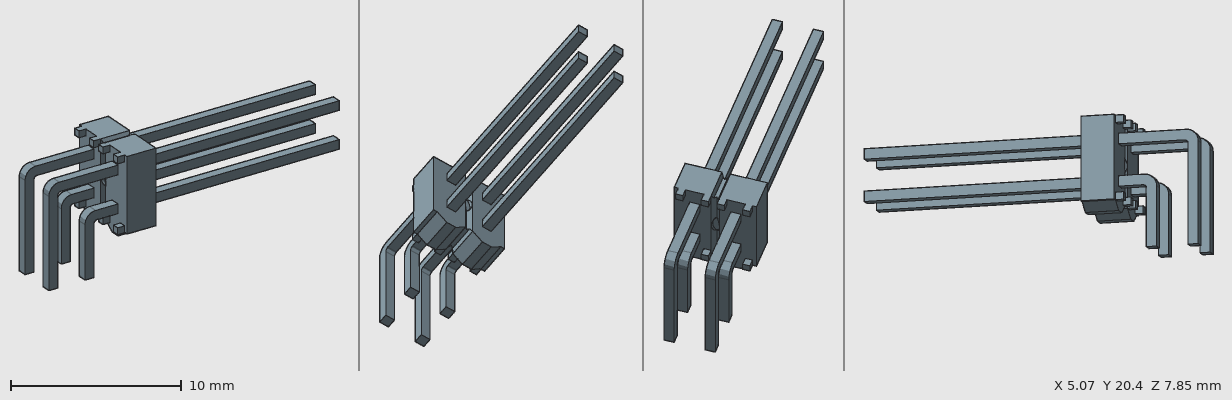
import cadquery as cq

HEADER_WIDTH = 5.07
HEADER_LENGTH = 20.38
HEADER_HEIGHT = 7.85

PITCH = HEADER_WIDTH / 2
COLUMN_SIDES = (-1, 1)
PIN_ROWS = (0, 1)
PIN_SIZE = 0.63
BEND_OUTER_RADIUS = 0.73
BEND_INNER_RADIUS = 0.2

BLOCK_DEPTH = 2.04
PIN_OVERHANG = 4.85
BLOCK_HEIGHT = HEADER_WIDTH

GROOVE_HALF_WIDTH = 0.26
GROOVE_FLOOR_HALF_WIDTH = 0.132
GROOVE_DEPTH = 0.26

KEY_WIDTH = 0.49
KEY_HEIGHT = 1.02
KEY_LENGTH = BLOCK_DEPTH - 2 * GROOVE_DEPTH

PEG_SIZE = 0.45
PEG_LENGTH = 0.49
PEG_SIDE_INSET = 0.25

FOOT_DEPTH = 0.5
FOOT_TIP_WIDTH = PIN_SIZE

BLOCK_TOP = BLOCK_HEIGHT / 2
BLOCK_BOTTOM = -BLOCK_TOP
LEG_BOTTOM = BLOCK_TOP - HEADER_HEIGHT
PIN_FRONT = -PIN_OVERHANG
PIN_BACK = PIN_FRONT + HEADER_LENGTH


def box(x_range, y_range, z_range):
    """Box spanning the given ranges, in any order of their ends."""
    sizes = [abs(end - start) for start, end in (x_range, y_range, z_range)]
    middle = tuple((start + end) / 2 for start, end in (x_range, y_range, z_range))
    return cq.Workplane("XY").box(*sizes).translate(middle)


def front_outline(points):
    """Closed outline in X and Z, extruded over the depth of the block."""
    return cq.Workplane("XZ", origin=(0, BLOCK_DEPTH, 0)).polyline(points).close().extrude(BLOCK_DEPTH)


def foot(side):
    """Foot tapering downward under one column."""
    middle = side * PITCH / 2
    half_root = PITCH / 2 - GROOVE_HALF_WIDTH
    half_tip = FOOT_TIP_WIDTH / 2
    tip = BLOCK_BOTTOM - FOOT_DEPTH
    return front_outline([
        (middle - half_root, BLOCK_BOTTOM),
        (middle - half_tip, tip),
        (middle + half_tip, tip),
        (middle + half_root, BLOCK_BOTTOM),
    ])


def pegs(side):
    """Four pegs near the corners of one column's front face."""
    inner = GROOVE_HALF_WIDTH
    outer = PITCH - PEG_SIDE_INSET - PEG_SIZE
    group = cq.Workplane("XY")
    for start in (inner, outer):
        for bottom in (BLOCK_BOTTOM, BLOCK_TOP - PEG_SIZE):
            x_range = (side * start, side * (start + PEG_SIZE))
            group = group.union(box(x_range, (-PEG_LENGTH, 0), (bottom, bottom + PEG_SIZE)))
    return group


def flat_groove(face, inward):
    """Flat-bottomed groove from front to back across the top or bottom face."""
    floor = face + inward * GROOVE_DEPTH
    return front_outline([
        (-GROOVE_HALF_WIDTH, face),
        (-GROOVE_FLOOR_HALF_WIDTH, floor),
        (GROOVE_FLOOR_HALF_WIDTH, floor),
        (GROOVE_HALF_WIDTH, face),
    ])


def vee_groove(face, inward):
    """Upright V-groove in the front or back face."""
    outline = [
        (-GROOVE_HALF_WIDTH, face),
        (0, face + inward * GROOVE_DEPTH),
        (GROOVE_HALF_WIDTH, face),
    ]
    plane = cq.Workplane("XY", origin=(0, 0, BLOCK_BOTTOM))
    return plane.polyline(outline).close().extrude(BLOCK_HEIGHT)


def oval_key():
    """Oval key along Y, its ends level with the bottoms of the two V-grooves."""
    plane = cq.Workplane("XZ", origin=(0, BLOCK_DEPTH - GROOVE_DEPTH, 0))
    return plane.ellipse(KEY_WIDTH / 2, KEY_HEIGHT / 2).extrude(KEY_LENGTH)


def oval_hole():
    """Cutter for the oval hole that holds the key."""
    plane = cq.Workplane("XZ", origin=(0, BLOCK_DEPTH, 0))
    return plane.ellipse(KEY_WIDTH / 2, KEY_HEIGHT / 2).extrude(BLOCK_DEPTH)


def bent_pin(side, row):
    """Square pin with a downward leg; row 0 is the upper pin and row 1 the lower one."""
    top = BLOCK_TOP - PITCH / 2 + PIN_SIZE / 2 - row * PITCH
    front = PIN_FRONT + row * PITCH
    pin = box((-PIN_SIZE / 2, PIN_SIZE / 2), (front, PIN_BACK), (top - PIN_SIZE, top))
    leg = box((-PIN_SIZE / 2, PIN_SIZE / 2), (front, front + PIN_SIZE), (LEG_BOTTOM, top))
    inner_corner = cq.selectors.NearestToPointSelector((0, front + PIN_SIZE, top - PIN_SIZE))
    outer_corner = cq.selectors.NearestToPointSelector((0, front, top))
    bent = pin.union(leg).edges(inner_corner).fillet(BEND_INNER_RADIUS)
    bent = bent.edges(outer_corner).fillet(BEND_OUTER_RADIUS)
    return bent.translate((side * PITCH / 2, 0, 0))


def header():
    """Two-column housing with its four pins moulded in."""
    body = box((-PITCH, PITCH), (0, BLOCK_DEPTH), (BLOCK_BOTTOM, BLOCK_TOP))
    for side in COLUMN_SIDES:
        body = body.union(foot(side)).union(pegs(side))
    body = body.cut(flat_groove(BLOCK_TOP, -1)).cut(flat_groove(BLOCK_BOTTOM, 1))
    body = body.cut(vee_groove(0, 1)).cut(vee_groove(BLOCK_DEPTH, -1))
    body = body.cut(oval_hole())
    for side in COLUMN_SIDES:
        for row in PIN_ROWS:
            body = body.union(bent_pin(side, row))
    return body


result = cq.Compound.makeCompound([header().val(), oval_key().val()])